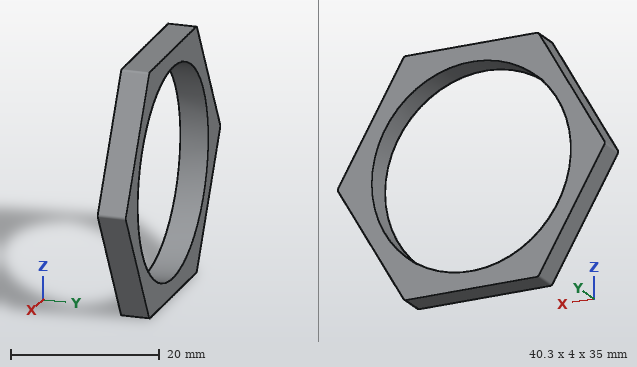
import cadquery as cq
import math

width_over_corners = 40.25
thickness = 4.0
bore_diameter = 30.0
corner_radius = 0.5

corner_trim = corner_radius * (1 / math.cos(math.radians(30)) - 1)
sharp_width = width_over_corners + 2 * corner_trim

front_face = cq.Workplane("XZ", origin=(0, -thickness / 2, 0))

plate = front_face.polygon(6, sharp_width).extrude(-thickness)
rounded_plate = plate.edges("|Y").fillet(corner_radius)

bore = front_face.circle(bore_diameter / 2).extrude(-thickness)

result = rounded_plate.cut(bore)